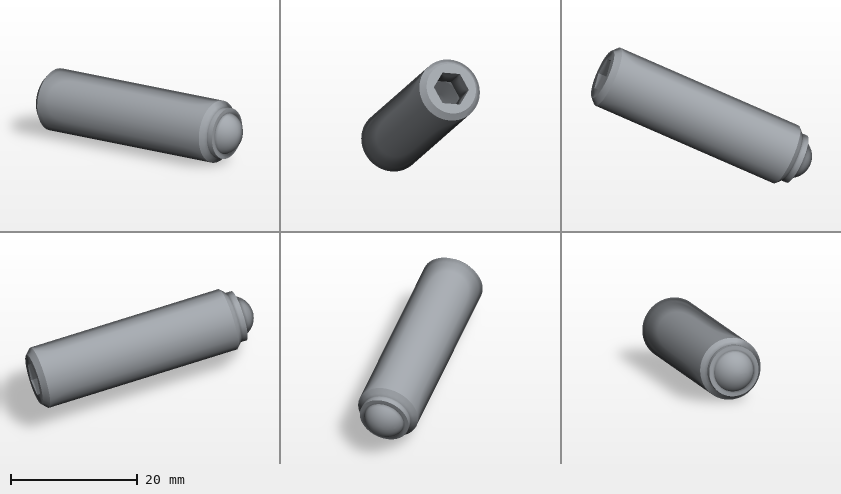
import cadquery as cq
import math

total_length = 36.7
body_diameter = 10.0
chamfer = 0.9
shoulder_end = 33.45
collar_end = 34.42
ball_radius = 3.5

hex_across_flats = 5.0
socket_depth = 5.0
drill_point_angle = 120.0

body_radius = body_diameter / 2
collar_radius = body_radius - chamfer
ball_center = total_length - ball_radius
ball_rim_radius = math.sqrt(ball_radius**2 - (collar_end - ball_center) ** 2)
ball_mid_offset = ball_radius * math.sqrt(0.5)


def make_body():
    """Revolve the chamfered screw, its collar and the ball tip about X."""
    profile = (
        cq.Workplane("XY")
        .moveTo(0, 0)
        .lineTo(0, collar_radius)
        .lineTo(chamfer, body_radius)
        .lineTo(shoulder_end - chamfer, body_radius)
        .lineTo(shoulder_end, collar_radius)
        .lineTo(collar_end, collar_radius)
        .lineTo(collar_end, ball_rim_radius)
        .threePointArc(
            (ball_center + ball_mid_offset, ball_mid_offset),
            (total_length, 0),
        )
        .close()
    )
    return profile.revolve(360, (0, 0, 0), (1, 0, 0))


def make_socket():
    """Hexagon with corners on the Y axis, ending in a cone inside its flats."""
    across_corners = hex_across_flats / math.cos(math.radians(30))
    hexagon = cq.Workplane("YZ").polygon(6, across_corners).extrude(socket_depth)
    cone_radius = hex_across_flats / 2
    cone_depth = cone_radius / math.tan(math.radians(drill_point_angle / 2))
    cone = cq.Solid.makeCone(
        cone_radius,
        0,
        cone_depth,
        pnt=cq.Vector(socket_depth, 0, 0),
        dir=cq.Vector(1, 0, 0),
    )
    return hexagon.union(cq.Workplane(cone))


result = make_body().cut(make_socket())